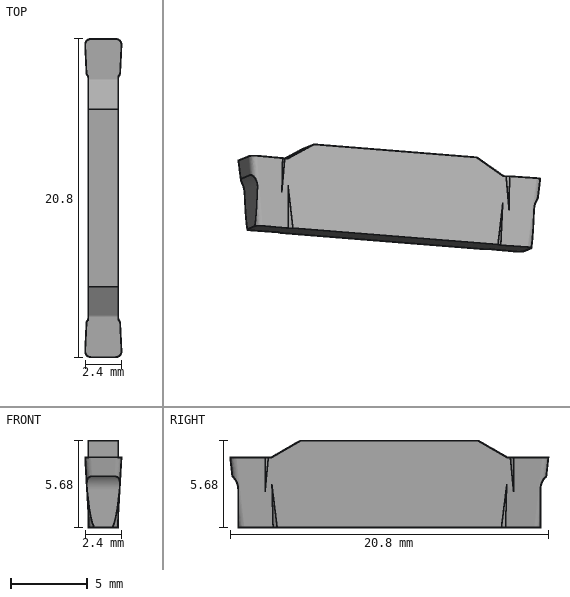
import cadquery as cq
import math

length = 20.8
height = 5.68
body_width = 1.98
head_width = 2.4
half_length = length / 2

crown_half_length = 5.8
crown_angle = 30.0
seat_height = 4.58
seat_blend_radius = 0.27
slope_run = (height - seat_height) / math.tan(math.radians(crown_angle))
slope_foot = crown_half_length + slope_run

side_clearance = 0.052
back_taper = 0.049
end_setback = 0.52
corner_radius = 0.4
head_back = 8.12
shoulder_slope = 0.55

relief_top = 3.35
relief_bottom = 2.5

recess_back_top = 7.72
recess_back_bottom = 7.6
flare_length = 0.83
core_start = 9.15
selection_margin = 0.1

end_bottom = half_length - end_setback


def head_half_width(y, z):
    """Half width of the tapered side planes at distance y from the middle and height z."""
    widest_y = half_length - corner_radius
    return head_width / 2 - side_clearance * (seat_height - z) - back_taper * (widest_y - y)


def symmetric_loft(bottom_side, top_side, loft_height):
    """Ruled solid between two outlines, each given by its +X side and mirrored in X."""
    solid = cq.Workplane("XY")
    for side, rise in ((bottom_side, 0), (top_side, loft_height)):
        mirrored = [(-x, y) for x, y in reversed(side)]
        solid = solid.workplane(offset=rise).polyline(side + mirrored).close()
    return solid.loft(ruled=True)


def head_side(z, end_y):
    back_width = head_half_width(head_back, z)
    shoulder_depth = back_width / 2
    return [
        (head_half_width(end_y, z), end_y),
        (back_width, head_back),
        (back_width - shoulder_depth, head_back - shoulder_depth / shoulder_slope),
    ]


def make_head():
    """Head at the +Y end with rounded corners and a hollow relief below its cutting edge."""
    head = symmetric_loft(head_side(0, end_bottom), head_side(seat_height, half_length), seat_height)
    corners = cq.selectors.BoxSelector(
        (-head_width, end_bottom - selection_margin, selection_margin),
        (head_width, half_length + selection_margin, seat_height - selection_margin),
    )
    head = head.edges(corners).fillet(corner_radius)

    relief_edge_y = end_bottom + end_setback * relief_top / seat_height
    depth = relief_edge_y - end_bottom
    rise = relief_top - relief_bottom
    radius = (depth**2 + rise**2) / (2 * depth)
    half_angle = math.asin(rise / radius) / 2
    arc_middle = (
        end_bottom + radius * (1 - math.cos(half_angle)),
        relief_bottom + radius * math.sin(half_angle),
    )
    relief = (
        cq.Workplane("YZ")
        .moveTo(end_bottom, 0)
        .lineTo(end_bottom, relief_bottom)
        .threePointArc(arc_middle, (relief_edge_y, relief_top))
        .lineTo(half_length, relief_top)
        .lineTo(half_length, 0)
        .close()
        .extrude(head_width, both=True)
    )
    return head.cut(relief)


def core_side(z, recess_back):
    recess_half = head_half_width(recess_back, z)
    flare_half = recess_half + flare_length * shoulder_slope
    return [
        (head_half_width(core_start, z), core_start),
        (recess_half, recess_back),
        (flare_half, recess_back - flare_length),
        (flare_half, 0),
    ]


def make_half_body():
    """The +Y half of the body, with the side recesses behind the head."""
    profile = (
        cq.Workplane("YZ")
        .polyline([
            (0, 0), (core_start, 0), (core_start, seat_height),
            (slope_foot, seat_height), (crown_half_length, height), (0, height),
        ])
        .close()
        .extrude(body_width / 2, both=True)
    )
    foot = cq.selectors.NearestToPointSelector((0, slope_foot, seat_height))
    profile = profile.edges("|X").edges(foot).fillet(seat_blend_radius)

    upper_back = recess_back_bottom + (recess_back_top - recess_back_bottom) * height / seat_height
    core = symmetric_loft(core_side(0, recess_back_bottom), core_side(height, upper_back), height)
    return profile.intersect(core)


half_part = make_half_body().union(make_head())
result = half_part.union(half_part.mirror("XZ"))